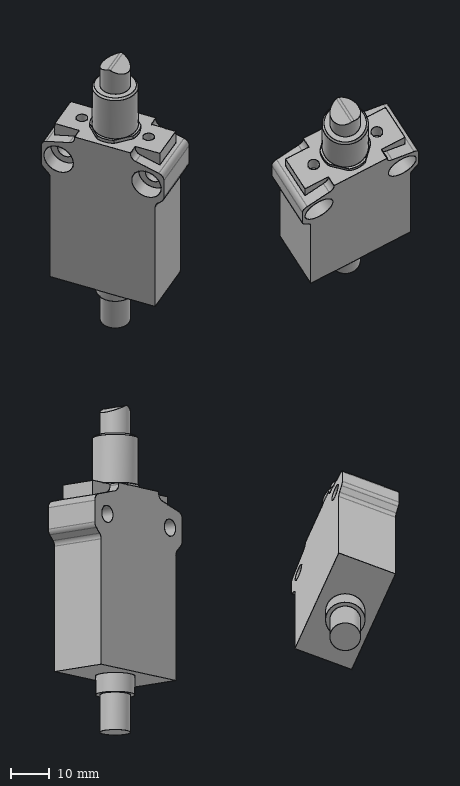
import cadquery as cq
import math

TOTAL_HEIGHT = 85.9

BODY_WIDTH = 30.0
DEPTH = 16.0
BODY_HEIGHT = 49.0

EAR_WIDTH = 35.0
EAR_RADIUS = 2.0
EAR_FOOT_HEIGHT = 33.9
EAR_SLOPE = 15.0
SHOULDER_WIDTH = 16.0
SHOULDER_DROP = 2.0

TONGUE_DEPTH = 10.05

MOUNT_SPACING = 25.0
MOUNT_HEIGHT = 40.0
MOUNT_DIAMETER = 4.5
COUNTERBORE_DIAMETER = 8.3
COUNTERBORE_DEPTH = 4.3
TOP_HOLE_SPACING = 19.0
TOP_HOLE_DIAMETER = 3.0
TOP_HOLE_DEPTH = 5.0

COLLAR_DIAMETER = 13.3
COLLAR_FLATS = 12.2
COLLAR_HEIGHT = 1.0
SLEEVE_DIAMETER = 12.0
SLEEVE_TOP = 63.2
SLEEVE_CHAMFER = 0.5

GLAND_DIAMETER = 10.2
GLAND_HEIGHT = 5.0
CABLE_DIAMETER = 8.0
CABLE_LENGTH = 14.9

PLUNGER_DIAMETER = 8.0
PLUNGER_TOP = TOTAL_HEIGHT - CABLE_LENGTH
TIP_SLOPE = 27.0
RIDGE_RADIUS = 0.9


def housing_outline():
    """Front outline of the housing with sharp ear corners, extruded through the depth."""
    half_body = BODY_WIDTH / 2
    half_ear = EAR_WIDTH / 2
    half_shoulder = SHOULDER_WIDTH / 2
    shoulder_height = BODY_HEIGHT - SHOULDER_DROP
    ear_top = shoulder_height - (half_ear - half_shoulder) * math.tan(math.radians(EAR_SLOPE))
    ear_bottom = EAR_FOOT_HEIGHT + (half_ear - half_body)
    right_side = [
        (half_body, 0),
        (half_body, EAR_FOOT_HEIGHT),
        (half_ear, ear_bottom),
        (half_ear, ear_top),
        (half_shoulder, shoulder_height),
        (half_shoulder, BODY_HEIGHT),
    ]
    left_side = [(-x, z) for x, z in reversed(right_side)]
    return right_side + left_side


def is_ear_corner(edge):
    """True for the depth-wise edges at the corners of the ears."""
    return 0 < edge.Center().z < BODY_HEIGHT


def make_housing():
    block = (
        cq.Workplane("XZ")
        .polyline(housing_outline())
        .close()
        .extrude(DEPTH / 2, both=True)
    )
    ear_corners = [edge for edge in block.edges("|Y").vals() if is_ear_corner(edge)]
    block = block.newObject(ear_corners).fillet(EAR_RADIUS)

    tongue = (
        cq.Workplane("XY")
        .workplane(offset=EAR_FOOT_HEIGHT)
        .rect(BODY_WIDTH, TONGUE_DEPTH)
        .extrude(BODY_HEIGHT - EAR_FOOT_HEIGHT)
    )
    gland = cq.Workplane("XY").circle(GLAND_DIAMETER / 2).extrude(-GLAND_HEIGHT)
    housing = block.union(tongue).union(gland).union(make_collar()).union(make_sleeve())

    housing = cut_mounting_holes(housing)
    housing = cut_top_holes(housing)
    return housing.cut(make_plunger()).cut(make_cable())


def make_collar():
    """Round collar with four flats on the diagonals."""
    disc = (
        cq.Workplane("XY")
        .workplane(offset=BODY_HEIGHT)
        .circle(COLLAR_DIAMETER / 2)
        .extrude(COLLAR_HEIGHT)
    )
    flats = (
        cq.Workplane("XY")
        .workplane(offset=BODY_HEIGHT)
        .transformed(rotate=(0, 0, 45))
        .rect(COLLAR_FLATS, COLLAR_FLATS)
        .extrude(COLLAR_HEIGHT)
    )
    return disc.intersect(flats)


def make_sleeve():
    return (
        cq.Workplane("XY")
        .workplane(offset=BODY_HEIGHT)
        .circle(SLEEVE_DIAMETER / 2)
        .extrude(SLEEVE_TOP - BODY_HEIGHT)
        .faces(">Z")
        .chamfer(SLEEVE_CHAMFER)
    )


def cut_mounting_holes(housing):
    """Through holes in the ears, counterbored from the front."""
    return (
        housing.copyWorkplane(cq.Workplane("XZ", origin=(0, -DEPTH / 2, MOUNT_HEIGHT)))
        .pushPoints([(-MOUNT_SPACING / 2, 0), (MOUNT_SPACING / 2, 0)])
        .cboreHole(MOUNT_DIAMETER, COUNTERBORE_DIAMETER, COUNTERBORE_DEPTH)
    )


def cut_top_holes(housing):
    """Blind holes in the top face, one each side of the collar."""
    return (
        housing.copyWorkplane(cq.Workplane("XY", origin=(0, 0, BODY_HEIGHT)))
        .pushPoints([(-TOP_HOLE_SPACING / 2, 0), (TOP_HOLE_SPACING / 2, 0)])
        .hole(TOP_HOLE_DIAMETER, TOP_HOLE_DEPTH)
    )


def make_plunger():
    """Round plunger from the housing top, with a wedge tip and a rounded ridge along Y."""
    radius = PLUNGER_DIAMETER / 2
    slope = math.radians(TIP_SLOPE)
    sharp_top = PLUNGER_TOP + RIDGE_RADIUS * (1 / math.cos(slope) - 1)
    shoulder = sharp_top - radius * math.tan(slope)
    wedge = (
        cq.Workplane("XZ")
        .polyline([
            (-radius, BODY_HEIGHT),
            (radius, BODY_HEIGHT),
            (radius, shoulder),
            (0, sharp_top),
            (-radius, shoulder),
        ])
        .close()
        .extrude(radius, both=True)
        .edges(">Z")
        .fillet(RIDGE_RADIUS)
    )
    rod = (
        cq.Workplane("XY")
        .workplane(offset=BODY_HEIGHT)
        .circle(radius)
        .extrude(sharp_top - BODY_HEIGHT)
    )
    return rod.intersect(wedge)


def make_cable():
    """Cable running through the gland up to the housing bottom."""
    return cq.Workplane("XY").circle(CABLE_DIAMETER / 2).extrude(-CABLE_LENGTH)


housing = make_housing()
plunger = make_plunger()
cable = make_cable()

result = cq.Compound.makeCompound([housing.val(), plunger.val(), cable.val()])